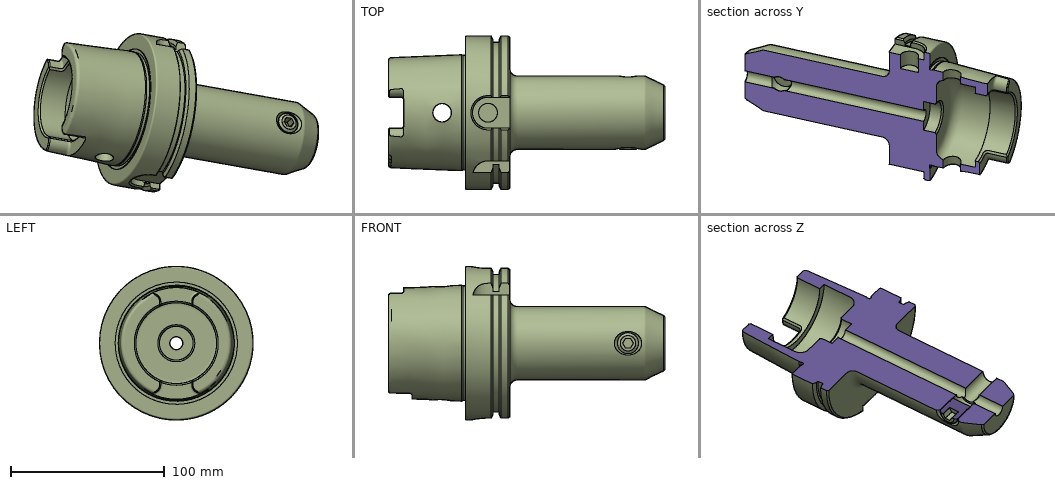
import cadquery as cq
import math


axis_start = (0, 0, 0)
axis_end = (1, 0, 0)
overlap = 1.8
margin = 0.2

shank_length = 50.0
shank_end_radius = 35.8
shank_base_radius = 37.8
shank_end_fillet = 2.0
relief_radius = 37.5
relief_start = 2.5
relief_slope = 1.0
face_groove_radius = 39.8
face_groove_depth = 0.5

mouth_radius = 26.3
mouth_depth = 18.7
chamber_radius = 31.1
chamber_depth = 45.7
chamber_fillet = 6.5
bore_edge_chamfer = 1.0
coolant_seat_radius = 11.0
coolant_seat_depth = 9.0
coolant_seat_chamfer = 1.0
coolant_hole_radius = 4.1

drive_slot_half_width = 10.0
drive_slot_depths = {0: 9.9, 180: 15.3}
drive_slot_round = 5.8
drive_slot_round_start = 26.8
drive_slot_floor_fillet = 1.6
drive_slot_chamfer = 0.7
cross_hole_radius = 6.0
cross_hole_x = -15.1

flange_radius = 50.0
flange_length = 29.0
flange_front_fillet = 1.0
flange_back_chamfer = 1.0
groove_x = 20.0
groove_floor_radius = 45.9
groove_floor_width = 4.0
groove_flank_width = 1.3
groove_flank_depth = 2.5
key_slot_radius = 10.0
key_slot_x = 14.8
key_slot_floor = 44.0
key_slot_chamfer = 1.0
chip_hole_radius = 6.1
chip_hole_depth = 10.8
notch_offset = 31.3

total_length = 180.0
nose_end = total_length - shank_length
neck_radius = 24.0
neck_fillet = 4.9
cone_start = 117.0
cone_end_radius = 18.2
cone_blend = 1.8
nose_chamfer = 1.0

screw_x = 105.8
screw_radius = 6.8
screw_top_radius = 5.0
screw_chamfer_depth = 1.3
screw_length = 16.0
screw_socket_width = 6.0
screw_socket_depth = 7.2
screw_hole_chamfer = 1.0
screw_far_hole_radius = 5.4


def rod_x(radius, start, end):
    """Cylinder on the tool axis from X = start to X = end."""
    return cq.Workplane("YZ", origin=(start, 0, 0)).circle(radius).extrude(end - start)


def make_shank():
    """Solid taper with its relief neck; the end runs into the flange."""
    outline = [
        (-shank_length, 0),
        (-shank_length, shank_end_radius),
        (-relief_start, shank_base_radius),
        (-relief_start + relief_slope, relief_radius),
        (face_groove_depth, relief_radius),
        (face_groove_depth, 0),
    ]
    shank = cq.Workplane("XY").polyline(outline).close().revolve(360, axis_start, axis_end)
    return shank.faces("<X").edges().fillet(shank_end_fillet)


def key_slot_tool():
    """U-shaped cutter, open toward the nose, standing on the slot floor."""
    height = flange_radius
    round_end = (
        cq.Workplane("XY", origin=(key_slot_x, 0, key_slot_floor))
        .circle(key_slot_radius)
        .extrude(height)
    )
    straight = cq.Workplane("XY").box(
        flange_length, 2 * key_slot_radius, height, centered=(False, True, False)
    )
    return round_end.union(straight.translate((key_slot_x, 0, key_slot_floor)))


def groove_tool():
    """Ring that cuts the gripper groove with its sloped flanks."""
    half_floor = groove_floor_width / 2
    half_mouth = half_floor + groove_flank_width
    flank_radius = flange_radius - groove_flank_depth
    outer = flange_radius + overlap
    outline = [
        (-half_floor, groove_floor_radius),
        (-half_floor, flank_radius),
        (-half_mouth, flange_radius),
        (-half_mouth, outer),
        (half_mouth, outer),
        (half_mouth, flange_radius),
        (half_floor, flank_radius),
        (half_floor, groove_floor_radius),
    ]
    ring = cq.Workplane("XY").polyline(outline).close().revolve(360, axis_start, axis_end)
    return ring.translate((groove_x, 0, 0))


def notch_tool():
    """Round-ended cutter for the L-shaped notch between -Y and +Z."""
    size = flange_radius
    center_y = -notch_offset - key_slot_radius
    round_end = (
        cq.Workplane("XY", origin=(key_slot_x, center_y, notch_offset))
        .circle(key_slot_radius)
        .extrude(size)
    )
    straight = cq.Workplane("XY").box(size, size, size, centered=False)
    return round_end.union(straight.translate((key_slot_x, -notch_offset - size, notch_offset)))


def make_flange():
    """Flange disk with two key slots, the gripper groove, a notch and a blind chip hole."""
    flange = rod_x(flange_radius, 0, flange_length)
    flange = flange.faces("<X").edges().fillet(flange_front_fillet)
    flange = flange.faces(">X").edges().chamfer(flange_back_chamfer)
    flange = flange.cut(rod_x(face_groove_radius, 0, face_groove_depth))

    slot = key_slot_tool()
    for turn in (0, 180):
        flange = flange.cut(slot.rotate(axis_start, axis_end, turn))
    reach = key_slot_radius + margin
    slot_end = flange_length - flange_back_chamfer - margin
    above_floor = key_slot_floor + margin
    for low, high in ((above_floor, flange_radius), (-flange_radius, -above_floor)):
        rim = cq.selectors.BoxSelector((key_slot_x - reach, -reach, low), (slot_end, reach, high))
        flange = flange.edges(rim).chamfer(key_slot_chamfer)

    flange = flange.cut(groove_tool()).cut(notch_tool())
    chip_hole = (
        cq.Workplane("XY", origin=(key_slot_x, 0, key_slot_floor))
        .circle(chip_hole_radius)
        .extrude(-chip_hole_depth)
    )
    return flange.cut(chip_hole)


def make_nose():
    """Neck with a concave fillet at the flange and a tapered end."""
    outline = (
        cq.Workplane("XY")
        .moveTo(flange_length - overlap, 0)
        .lineTo(flange_length - overlap, neck_radius + neck_fillet)
        .lineTo(flange_length, neck_radius + neck_fillet)
        .radiusArc((flange_length + neck_fillet, neck_radius), -neck_fillet)
        .lineTo(cone_start, neck_radius)
        .lineTo(nose_end - nose_chamfer, cone_end_radius)
        .lineTo(nose_end, cone_end_radius - nose_chamfer)
        .lineTo(nose_end, 0)
        .close()
    )
    nose = outline.revolve(360, axis_start, axis_end)
    cone_edge = cq.selectors.BoxSelector(
        (cone_start - margin, -neck_radius, -neck_radius),
        (cone_start + margin, neck_radius, neck_radius),
    )
    return nose.edges(cone_edge).fillet(cone_blend)


def bore_tool():
    """Stepped cavity of the shank and the coolant hole that runs on through the nose."""
    chamber_x = mouth_depth - shank_length
    mouth = rod_x(mouth_radius, -shank_length, chamber_x)
    floor_x = chamber_depth - shank_length
    chamber = rod_x(chamber_radius, chamber_x, floor_x)
    chamber = chamber.faces(">X").edges().fillet(chamber_fillet)
    seat = rod_x(coolant_seat_radius, floor_x, floor_x + coolant_seat_depth)
    seat_chamfer = cq.Workplane(
        cq.Solid.makeCone(
            coolant_seat_radius + coolant_seat_chamfer,
            coolant_seat_radius,
            coolant_seat_chamfer,
            cq.Vector(floor_x, 0, 0),
            cq.Vector(1, 0, 0),
        )
    )
    coolant_hole = rod_x(coolant_hole_radius, floor_x, nose_end)
    return mouth.union(chamber).union(seat).union(seat_chamfer).union(coolant_hole)


def drive_slot_profile(growth=0):
    """Outline of the +Z drive slot, flaring outward where the walls are rounded."""
    half_width = drive_slot_half_width + growth
    flare_y = drive_slot_half_width + drive_slot_round
    flare_z = drive_slot_round_start + drive_slot_round - growth
    inner_z = mouth_radius / 2
    outer = shank_base_radius + overlap
    return (
        cq.Workplane("YZ", origin=(-shank_length, 0, 0))
        .moveTo(-half_width, inner_z)
        .lineTo(half_width, inner_z)
        .lineTo(half_width, drive_slot_round_start)
        .radiusArc((flare_y, flare_z), drive_slot_round - growth)
        .lineTo(outer, flare_z)
        .lineTo(outer, outer)
        .lineTo(-outer, outer)
        .lineTo(-outer, flare_z)
        .lineTo(-flare_y, flare_z)
        .radiusArc((-half_width, drive_slot_round_start), drive_slot_round - growth)
        .close()
    )


def drive_slot_tool(depth):
    """Cutter for the +Z drive slot with a fillet between its walls and floor."""
    slot = drive_slot_profile().extrude(depth)
    floor_x = depth - shank_length
    reach = drive_slot_half_width + 2 * drive_slot_round
    walls = cq.selectors.BoxSelector(
        (floor_x - margin, -reach, mouth_radius / 2 + margin),
        (floor_x + margin, reach, shank_base_radius),
    )
    return slot.edges(walls).fillet(drive_slot_floor_fillet)


def drive_slot_chamfer_tool():
    """Tapered cutter that breaks the slot's edges at the shank's end."""
    return drive_slot_profile(drive_slot_chamfer).extrude(drive_slot_chamfer, taper=45)


def screw_hole_tool():
    """Threaded hole on the -Y side, its chamfer, and the hole running on to +Y."""
    threaded = cq.Workplane("XZ", origin=(screw_x, 0, 0)).circle(screw_radius).extrude(neck_radius)
    far_hole = (
        cq.Workplane("XZ", origin=(screw_x, 0, 0))
        .circle(screw_far_hole_radius)
        .extrude(-neck_radius)
    )
    mouth_edge = math.sqrt(neck_radius**2 - screw_radius**2)
    growth = neck_radius - mouth_edge + screw_hole_chamfer
    countersink = cq.Workplane(
        cq.Solid.makeCone(
            screw_radius,
            screw_radius + growth,
            growth,
            cq.Vector(screw_x, -(neck_radius - growth), 0),
            cq.Vector(0, -1, 0),
        )
    )
    return threaded.union(far_hole).union(countersink)


def chamfer_bore_edges(holder):
    """Chamfer the edges where the bore meets the shank's end and its drive slots."""
    slot_reach = max(drive_slot_depths.values()) + margin

    def on_bore_rim(edge):
        points = [edge.positionAt(step) for step in (0, 0.5, 1)]
        on_bore = all(abs(math.hypot(p.y, p.z) - mouth_radius) < margin for p in points)
        return on_bore and all(p.x < slot_reach - shank_length for p in points)

    rim = [edge for edge in holder.edges().vals() if on_bore_rim(edge)]
    return holder.newObject(rim).chamfer(bore_edge_chamfer)


def make_holder():
    """Taper shank, flange and nose as one solid with all its cuts."""
    holder = make_flange().union(make_shank()).union(make_nose())
    holder = holder.cut(bore_tool())
    for turn, depth in drive_slot_depths.items():
        holder = holder.cut(drive_slot_tool(depth).rotate(axis_start, axis_end, turn))
    holder = chamfer_bore_edges(holder)
    for turn in drive_slot_depths:
        holder = holder.cut(drive_slot_chamfer_tool().rotate(axis_start, axis_end, turn))
    cross_hole = (
        cq.Workplane("XY", origin=(cross_hole_x, 0, 0))
        .circle(cross_hole_radius)
        .extrude(flange_radius, both=True)
    )
    return holder.cut(cross_hole).cut(screw_hole_tool())


def make_screw():
    """Set screw with a chamfered, hexagon-socket end flush with the neck."""
    top = neck_radius
    tip = top - screw_length
    chamfer_width = screw_radius - screw_top_radius
    screw = cq.Workplane("XZ", origin=(screw_x, -tip, 0)).circle(screw_radius).extrude(screw_length)
    chamfer = cq.Solid.makeCone(
        screw_top_radius + chamfer_width * screw_length / screw_chamfer_depth,
        screw_top_radius,
        screw_length,
        cq.Vector(screw_x, -tip, 0),
        cq.Vector(0, -1, 0),
    )
    screw = screw.intersect(cq.Workplane(chamfer))
    socket = (
        cq.Workplane("XZ", origin=(screw_x, -top, 0))
        .polygon(6, screw_socket_width / math.cos(math.pi / 6))
        .extrude(-screw_socket_depth)
    )
    return screw.cut(socket)


holder = make_holder()
screw = make_screw()
result = cq.Compound.makeCompound([holder.val(), screw.val()])